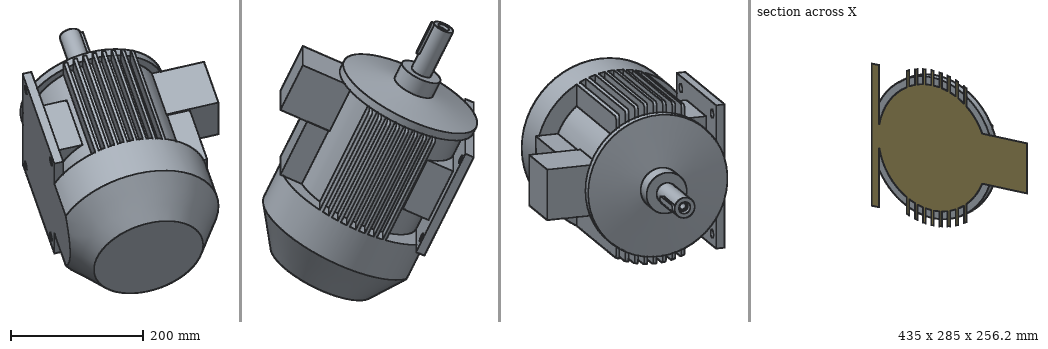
import cadquery as cq
import math

shaft_end = 80.0
boss_end = 106.5
cone_end = 119.0
frame_start = 132.0
frame_end = 308.0
drum_end = 371.0
overall_length = 435.0

shaft_radius = 16.0
boss_radius = 32.0
flange_radius = 112.0
core_radius = 99.5
drum_radius = 128.1
tail_radius = 85.5

centre_hole_mouth_radius = 9.0
centre_hole_pilot_radius = 6.5
centre_hole_drill_radius = 5.2
centre_hole_pilot_depth = 9.5
centre_hole_drill_depth = 37.5
countersink_half_angle = 30
drill_point_half_angle = 60
key_length = 55.5
key_width = 10.5
key_top = 19.5

fin_thickness = 5.2
fin_pitch = 14.95
fins_below_axis = 3
fins_above_axis = 4
fin_corner_radius = 5.2

mount_face = -112.0
plate_thickness = 14.0
plate_height = 226.5
pad_start = 176.0
pad_length = 87.5
pad_height = 166.0
bolt_hole_radius = 6.5
bolt_spacing_x = 139.5
bolt_spacing_z = 189.5
first_bolt_from_plate_edge = 18.0

box_length = 80.0
box_height = 80.0
box_top = 173.0
rib_height = 74.0

frame_length = frame_end - frame_start


def block(x_start, length, y_low, y_high, height):
    """Box centred on Z = 0."""
    return (
        cq.Workplane("XY")
        .box(length, y_high - y_low, height, centered=(False, False, True))
        .translate((x_start, y_low, 0))
    )


def cylinder(x_start, x_end, radius):
    """Cylinder about the motor axis."""
    return cq.Workplane("YZ", origin=(x_start, 0, 0)).circle(radius).extrude(x_end - x_start)


def turned_body():
    """Shaft, boss, coned flange, core, drum and tapered tail in one revolve."""
    return (
        cq.Workplane("XY")
        .polyline([
            (0, 0),
            (0, shaft_radius),
            (shaft_end, shaft_radius),
            (shaft_end, boss_radius),
            (boss_end, boss_radius),
            (cone_end, flange_radius),
            (frame_start, flange_radius),
            (frame_start, core_radius),
            (frame_end, core_radius),
            (frame_end, drum_radius),
            (drum_end, drum_radius),
            (overall_length, tail_radius),
            (overall_length, 0),
        ])
        .close()
        .revolve(360, (0, 0, 0), (1, 0, 0))
    )


def fins():
    """Upright fins trimmed to a cylinder that is rounded at its front edge."""
    envelope = cylinder(frame_start, frame_end, drum_radius).faces("<X").edges().fillet(fin_corner_radius)
    plates = cq.Workplane("XY")
    for index in range(-fins_below_axis, fins_above_axis + 1):
        y_low = index * fin_pitch - fin_thickness / 2
        plates = plates.add(
            block(frame_start, frame_length, y_low, y_low + fin_thickness, 2 * drum_radius)
        )
    return plates.combine().intersect(envelope)


def key():
    """Round-ended key on the +Y side of the shaft."""
    return (
        cq.Workplane("XZ")
        .center(key_length / 2, 0)
        .slot2D(key_length, key_width)
        .extrude(-key_top)
    )


def cone_depth(large_radius, small_radius, half_angle):
    """Axial length of a cone between two radii."""
    return (large_radius - small_radius) / math.tan(math.radians(half_angle))


def centre_hole():
    """Countersunk, stepped blind hole with a pointed bottom in the shaft tip."""
    countersink_depth = cone_depth(
        centre_hole_mouth_radius, centre_hole_pilot_radius, countersink_half_angle
    )
    point_depth = cone_depth(centre_hole_drill_radius, 0, drill_point_half_angle)
    return (
        cq.Workplane("XY")
        .polyline([
            (0, 0),
            (0, centre_hole_mouth_radius),
            (countersink_depth, centre_hole_pilot_radius),
            (centre_hole_pilot_depth, centre_hole_pilot_radius),
            (centre_hole_pilot_depth, centre_hole_drill_radius),
            (centre_hole_drill_depth, centre_hole_drill_radius),
            (centre_hole_drill_depth + point_depth, 0),
        ])
        .close()
        .revolve(360, (0, 0, 0), (1, 0, 0))
    )


def mount():
    """Drilled mounting plate with the pad that joins it to the frame."""
    plate = block(frame_start, frame_length, mount_face, mount_face + plate_thickness, plate_height)
    first_bolt_x = frame_start + first_bolt_from_plate_edge
    holes = (
        cq.Workplane("XZ", origin=(first_bolt_x + bolt_spacing_x / 2, mount_face, 0))
        .rarray(bolt_spacing_x, bolt_spacing_z, 2, 2)
        .circle(bolt_hole_radius)
        .extrude(-plate_thickness)
    )
    pad = block(pad_start, pad_length, mount_face, 0, pad_height)
    return plate.cut(holes).union(pad)


def terminal_box():
    """Terminal box on the +Y side, with a lower rib running back to the drum."""
    box = block(frame_start, box_length, 0, box_top, box_height)
    rib = block(frame_start, frame_length, 0, drum_radius, rib_height)
    return box.union(rib)


beyond_mount = block(0, overall_length, -2 * drum_radius, mount_face, 2 * drum_radius)

result = (
    turned_body()
    .union(fins())
    .cut(beyond_mount)
    .union(mount())
    .union(terminal_box())
    .union(key())
    .cut(centre_hole())
)